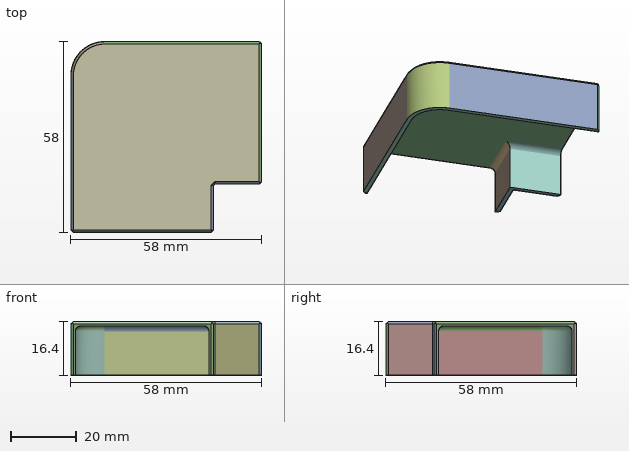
import cadquery as cq


span = 58.04
leg_width = 43.4
height = 16.4
wall = 1.4
outer_radius = 10.4
edge_chamfer = 0.8
notch_chamfer = 0.4
ceiling_fillet = 1.7
end_clearance = 1.0

half_span = span / 2
notch_x = leg_width - half_span
notch_y = half_span - leg_width
ceiling_z = height - wall
shoulder_z = height - edge_chamfer
cavity_reach = half_span + ceiling_fillet + end_clearance


def elbow_prism(near, reach, side_x, side_y, depth):
    """L-shaped prism: sides at -near in X and +near in Y, legs reaching to +reach in X and -reach in Y."""
    return (
        cq.Workplane("XY")
        .moveTo(-near, near)
        .lineTo(reach, near)
        .lineTo(reach, side_y)
        .lineTo(side_x, side_y)
        .lineTo(side_x, -reach)
        .lineTo(-near, -reach)
        .close()
        .extrude(depth)
    )


def vertical_edge_at(body, x, y):
    """Select the vertical edge of the body nearest to (x, y)."""
    return body.edges("|Z").edges(cq.NearestToPointSelector((x, y, height / 2)))


def notch_triangle(setback, z):
    """Triangle filling the notch corner at height z, where the notch faces lie back by the setback."""
    return cq.Wire.makePolygon(
        [
            cq.Vector(notch_x - setback, notch_y + setback, z),
            cq.Vector(notch_x + notch_chamfer, notch_y + setback, z),
            cq.Vector(notch_x - setback, notch_y - notch_chamfer, z),
        ],
        close=True,
    )


def make_notch_gusset():
    """Chamfer filling the re-entrant corner; it leans back with the chamfer around the roof."""
    triangles = [
        notch_triangle(0, 0),
        notch_triangle(0, shoulder_z),
        notch_triangle(edge_chamfer, height),
    ]
    return cq.Workplane(cq.Solid.makeLoft(triangles, True))


def make_outer_body():
    body = elbow_prism(half_span, half_span, notch_x, notch_y, height)
    body = vertical_edge_at(body, -half_span, half_span).fillet(outer_radius)
    body = body.faces(">Z").edges().chamfer(edge_chamfer)
    leg_corners = [
        (half_span, half_span),
        (half_span, notch_y),
        (notch_x, -half_span),
        (-half_span, -half_span),
    ]
    for x, y in leg_corners:
        body = vertical_edge_at(body, x, y).chamfer(edge_chamfer)
    return body.union(make_notch_gusset())


def make_cavity():
    inner_side = half_span - wall
    cavity = elbow_prism(inner_side, cavity_reach, notch_x - wall, notch_y + wall, ceiling_z)
    cavity = vertical_edge_at(cavity, -inner_side, inner_side).fillet(outer_radius - wall)
    return cavity.faces(">Z").edges().fillet(ceiling_fillet)


result = make_outer_body().cut(make_cavity())